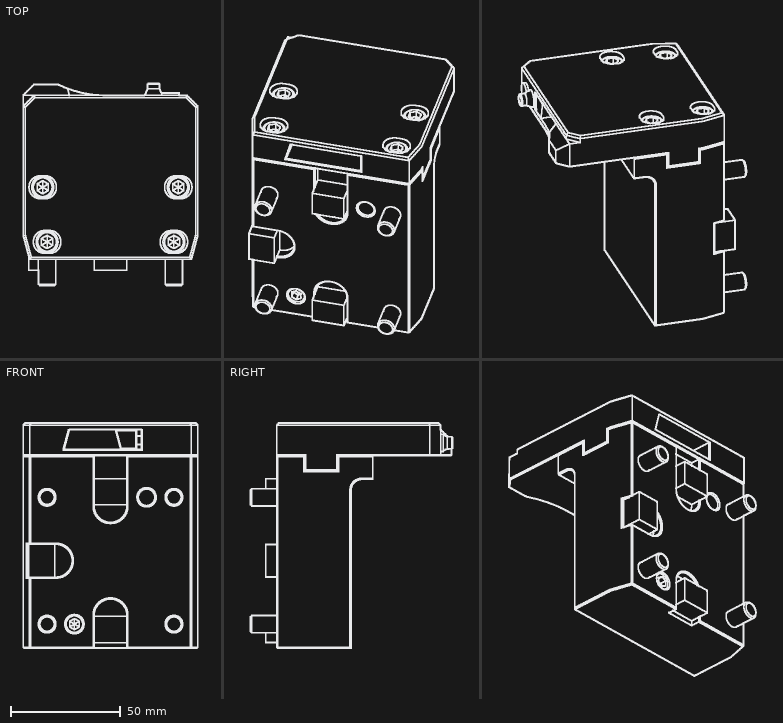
import cadquery as cq
import math

half_width = 40.0
front_half_width = 37.0
taper_angle = math.radians(15)
taper_depth = (half_width - front_half_width) / math.tan(taper_angle)
total_height = 103.0
plate_bottom = 88.0
plate_depth = 75.0

body_depth = 34.0
arm_depth = 44.0
arm_bottom = 77.2
arm_fillet = 5.0
body_chamfer = 0.5

tongue_front = 12.9
tongue_back = 27.9
tongue_bottom = 81.1

top_chamfer = 1.0
underside_chamfer = 0.4
corner_cut = 5.0
nose_top = 100.0
nose_length = 5.0
nose_end_x = -24.0
nose_sweep_radius = 50.0

dovetail_angle = math.radians(15)
slot_floor = 91.0
slot_roof = 100.0
slot_floor_left = -21.2
slot_right = 14.1
slot_lip = 0.4
jaw_floor_left = 4.6
jaw_right = 11.9
jaw_front = 15.0
jaw_chamfer = 0.3
jaw_gap = 0.2
jaw_screw_diameter = 4.0
jaw_screw_height = 95.1

knob_x = 19.7
knob_z = 93.9
knob_base_diameter = 8.2
knob_diameter = 5.6
knob_cone_length = 3.0
knob_length = 5.45
knob_chamfer = 0.4
pad_x = 27.4
pad_diameter = 8.0
pad_length = 1.2

screw_places = [(-31.0, 33.0), (31.0, 33.0), (-29.0, 8.0), (29.0, 8.0)]
counterbore_length = 12.6
counterbore_width = 10.5
head_height = 6.0
head_diameter = 10.0
head_recess = 1.6
counterbore_depth = head_recess + head_height
head_chamfer = 0.7
socket_across_flats = 5.2
socket_depth = 3.0

pattern_middle = 40.0
dowel_spacing = 58.0
dowel_diameter = 8.0
dowel_length = 12.0
dowel_chamfer = 0.7
key_width = 15.0
key_height = 12.0
key_offset = 31.5
key_projection = 5.0
key_angles = [0, 180, -90]
keyway_depth = 5.0
keyway_round_offset = 25.0
front_hole_x = 16.5
front_hole_diameter = 7.6
front_hole_depth = 14.0
front_hole_lip = 0.6
drill_half_angle = math.radians(59)
set_screw_recess = 0.6
set_screw_flats = 4.4
set_screw_socket_depth = 3.5

tol = 0.01
pick_margin = 1.0


def tapered_outline(depth):
    """Plan outline with both front corners tapered, square at the rear."""
    return [
        (-front_half_width, 0),
        (front_half_width, 0),
        (half_width, taper_depth),
        (half_width, depth),
        (-half_width, depth),
        (-half_width, taper_depth),
    ]


def front_plane(y=0.0):
    """Workplane at depth y whose normal points out of the front (-Y)."""
    return cq.Workplane("XZ", origin=(0, y, 0))


def rear_plane(x, z):
    """Workplane on the plate's rear face, normal pointing to the rear (+Y)."""
    return cq.Workplane(cq.Plane(origin=(x, plate_depth, z), xDir=(1, 0, 0), normal=(0, 1, 0)))


def rearward_cone(x, y, z, start_radius, end_radius, length):
    """Cone or cone frustum that starts at the given point and runs along +Y."""
    start = cq.Vector(x, y, z)
    return cq.Workplane(cq.Solid.makeCone(start_radius, end_radius, length, start, cq.Vector(0, 1, 0)))


def hex_socket(across_flats, depth):
    """Hexagon socket sunk from the origin along -Z, with a pyramid-shaped floor."""
    corner_radius = across_flats / 2 / math.cos(math.pi / 6)
    angles = [math.pi / 2 + i * math.pi / 3 for i in range(6)]

    def ring(z):
        return [cq.Vector(corner_radius * math.cos(a), corner_radius * math.sin(a), z) for a in angles]

    def face(points):
        return cq.Face.makeFromWires(cq.Wire.makePolygon(points, close=True))

    mouth = ring(0)
    floor = ring(-depth)
    tip = cq.Vector(0, 0, -depth - corner_radius / math.tan(drill_half_angle))
    faces = [face(mouth)]
    for i in range(6):
        faces.append(face([mouth[i - 1], mouth[i], floor[i], floor[i - 1]]))
        faces.append(face([floor[i - 1], floor[i], tip]))
    return cq.Workplane(cq.Solid.makeSolid(cq.Shell.makeShell(faces)))


def make_keyway():
    """Round-ended keyway open at the top, placed above the pattern centre."""
    round_z = pattern_middle + keyway_round_offset
    open_end = cq.Workplane("XY").box(
        key_width, keyway_depth, total_height - round_z, centered=(True, False, False)
    ).translate((0, 0, round_z))
    round_end = front_plane(keyway_depth).center(0, round_z).circle(key_width / 2).extrude(keyway_depth)
    return open_end.union(round_end)


def about_pattern_centre(shape, angle):
    """Turn a shape about the pattern's centre axis, which runs along Y."""
    return shape.rotate((0, 0, pattern_middle), (0, 1, pattern_middle), angle)


def touches_side(edge):
    """True if the edge lies wholly on a flat side or a front taper of the body."""

    def off_side(point):
        taper_x = front_half_width + point.y * math.tan(taper_angle)
        return abs(abs(point.x) - min(half_width, taper_x)) > tol

    return not any(off_side(edge.positionAt(t)) for t in (0, 0.5, 1))


def in_tongue_zone(point):
    """True for points within the tongue's section, its outline included."""
    return tongue_front - tol < point.y < tongue_back + tol and tongue_bottom - tol < point.z


class BodyOutline(cq.Selector):
    """Outer edges of the body's sides and front, with the groove and keyway mouths."""

    def filter(self, edges):
        return [edge for edge in edges if self.chosen(edge)]

    def chosen(self, edge):
        middle = edge.Center()
        if all(abs(edge.positionAt(t).y) < tol for t in (0, 0.5, 1)):
            return True
        upright = abs(edge.tangentAt(0.5).z) > 1 - tol
        taper_edge = upright and abs(middle.y - taper_depth) < tol
        arm_rear = upright and abs(middle.y - arm_depth) < tol
        return touches_side(edge) and not taper_edge and not arm_rear


class PlateUnderside(cq.Selector):
    """Lower outline of the plate, following the tongue's ends on both sides."""

    def filter(self, edges):
        return [edge for edge in edges if self.chosen(edge)]

    def chosen(self, edge):
        middle = edge.Center()
        if middle.z > plate_bottom + tol:
            return False
        tongue_length_edge = abs(middle.x) < tol and in_tongue_zone(middle)
        upright = abs(edge.tangentAt(0.5).z) > 1 - tol
        above_joint = upright and edge.BoundingBox().zmax > plate_bottom + tol
        return not tongue_length_edge and not above_joint


def make_body():
    side = (
        cq.Workplane("YZ", origin=(-half_width, 0, 0))
        .polyline([
            (0, 0), (body_depth, 0), (body_depth, arm_bottom), (arm_depth, arm_bottom),
            (arm_depth, plate_bottom), (tongue_back, plate_bottom), (tongue_back, tongue_bottom),
            (tongue_front, tongue_bottom), (tongue_front, plate_bottom), (0, plate_bottom),
        ])
        .close()
        .extrude(2 * half_width)
    )
    inner_corner = cq.selectors.NearestToPointSelector((0, body_depth, arm_bottom))
    side = side.edges("|X").edges(inner_corner).fillet(arm_fillet)
    plan = cq.Workplane("XY").polyline(tapered_outline(arm_depth)).close().extrude(plate_bottom)
    body = side.intersect(plan)

    for angle in key_angles:
        body = body.cut(about_pattern_centre(make_keyway(), angle))
    return body.edges(BodyOutline()).chamfer(body_chamfer)


def make_plate():
    sweep_end_x = nose_end_x + math.sqrt(nose_sweep_radius**2 - (nose_sweep_radius - nose_length) ** 2)
    nose_y = plate_depth + nose_length
    half_sweep = math.acos(1 - nose_length / nose_sweep_radius) / 2
    sweep_middle = (
        sweep_end_x - nose_sweep_radius * math.sin(half_sweep),
        plate_depth + nose_sweep_radius * (1 - math.cos(half_sweep)),
    )
    lower = (
        cq.Workplane("XY", origin=(0, 0, plate_bottom))
        .moveTo(-front_half_width, 0)
        .lineTo(front_half_width, 0)
        .lineTo(half_width, taper_depth)
        .lineTo(half_width, plate_depth - corner_cut)
        .lineTo(half_width - corner_cut, plate_depth)
        .lineTo(sweep_end_x, plate_depth)
        .threePointArc(sweep_middle, (nose_end_x, nose_y))
        .lineTo(nose_length - half_width, nose_y)
        .lineTo(-half_width, plate_depth)
        .lineTo(-half_width, taper_depth)
        .close()
        .extrude(nose_top - plate_bottom)
    )
    above_slope = (
        cq.Workplane("YZ", origin=(-half_width, 0, 0))
        .polyline([(plate_depth, nose_top), (nose_y, nose_top), (nose_y, nose_top - nose_length)])
        .close()
        .extrude(2 * half_width)
    )
    lower = lower.cut(above_slope)
    upper = (
        cq.Workplane("XY", origin=(0, 0, nose_top))
        .polyline(tapered_outline(plate_depth))
        .close()
        .extrude(total_height - nose_top)
        .edges("|Z and >Y")
        .chamfer(corner_cut)
        .faces(">Z")
        .edges()
        .chamfer(top_chamfer)
    )
    tongue_width = tongue_back - tongue_front
    tongue = cq.Workplane("XY").box(
        2 * half_width, tongue_width, plate_bottom - tongue_bottom, centered=(True, False, False)
    ).translate((0, tongue_front, tongue_bottom))
    lower = lower.union(tongue).edges(PlateUnderside()).chamfer(underside_chamfer)
    return lower.union(upper)


def dovetail(left, right, bottom, top, lean_angle, y_front, y_rear):
    """Bar along Y with an upright right side; the left side leans to +X going up."""
    lean = (top - bottom) * math.tan(lean_angle)
    points = [(left, bottom), (right, bottom), (right, top), (left + lean, top)]
    return front_plane(y_rear).polyline(points).close().extrude(y_rear - y_front)


def cut_dovetail_slot(part):
    rear = plate_depth + nose_length
    slot = dovetail(slot_floor_left, slot_right, slot_floor, slot_roof, dovetail_angle, 0, rear)
    part = part.cut(slot)
    lip_edges = cq.selectors.BoxSelector(
        (slot_floor_left - pick_margin, -tol, slot_floor - pick_margin),
        (slot_right + pick_margin, tol, slot_roof - pick_margin),
    )
    return part.faces("<Y").edges(lip_edges).chamfer(slot_lip)


def make_jaw():
    jaw = dovetail(
        jaw_floor_left, jaw_right, slot_floor + jaw_gap, slot_roof - jaw_gap,
        -dovetail_angle, jaw_front, plate_depth,
    )
    jaw = jaw.faces("<Y").edges().chamfer(jaw_chamfer)
    middle_y = (jaw_front + plate_depth) / 2
    screw = (
        cq.Workplane("YZ", origin=(jaw_right, middle_y, jaw_screw_height))
        .circle(jaw_screw_diameter / 2)
        .extrude(slot_right - jaw_right)
    )
    return jaw.union(screw)


def make_knob():
    base = rearward_cone(
        knob_x, plate_depth, knob_z, knob_base_diameter / 2, knob_diameter / 2, knob_cone_length
    )
    stem = (
        rear_plane(knob_x, knob_z)
        .circle(knob_diameter / 2)
        .extrude(knob_length)
        .faces(">Y")
        .chamfer(knob_chamfer)
    )
    pad = rear_plane(pad_x, knob_z).circle(pad_diameter / 2).extrude(pad_length)
    return stem.union(base).union(pad)


def add_plate_screw(part, place):
    x, y = place
    counterbore = (
        cq.Workplane("XY", origin=(x, y, total_height))
        .slot2D(counterbore_length, counterbore_width)
        .extrude(-counterbore_depth)
    )
    head = (
        cq.Workplane("XY", origin=(x, y, total_height - counterbore_depth))
        .circle(head_diameter / 2)
        .extrude(head_height)
        .faces(">Z")
        .edges()
        .chamfer(head_chamfer)
    )
    socket = hex_socket(socket_across_flats, socket_depth).translate((x, y, total_height - head_recess))
    return part.cut(counterbore).union(head.cut(socket))


def make_key():
    """Key seated in the upper keyway and standing out of the front."""
    return cq.Workplane("XY").box(
        key_width, key_projection + keyway_depth, key_height
    ).translate((0, (keyway_depth - key_projection) / 2, pattern_middle + key_offset))


def make_dowels():
    return (
        front_plane()
        .center(0, pattern_middle)
        .rect(dowel_spacing, dowel_spacing, forConstruction=True)
        .vertices()
        .circle(dowel_diameter / 2)
        .extrude(dowel_length)
        .faces("<Y")
        .edges()
        .chamfer(dowel_chamfer)
    )


def cut_bevelled_hole(part, x, z, depth):
    """Blind hole in the front face with a bevelled mouth."""
    radius = front_hole_diameter / 2
    hole = front_plane().center(x, z).circle(radius).extrude(-depth)
    mouth = rearward_cone(x, 0, z, radius + front_hole_lip, radius, front_hole_lip)
    return part.cut(hole).cut(mouth)


def cut_front_hole(part):
    z = pattern_middle + dowel_spacing / 2
    part = cut_bevelled_hole(part, front_hole_x, z, front_hole_depth)
    radius = front_hole_diameter / 2
    tip_length = radius / math.tan(drill_half_angle)
    tip = rearward_cone(front_hole_x, front_hole_depth, z, radius, 0, tip_length)
    return part.cut(tip)


def cut_set_screw(part):
    """Recess down to the set screw's face, and the hexagon socket in it."""
    z = pattern_middle - dowel_spacing / 2
    part = cut_bevelled_hole(part, -front_hole_x, z, set_screw_recess)
    socket = (
        hex_socket(set_screw_flats, set_screw_socket_depth)
        .rotate((0, 0, 0), (1, 0, 0), 90)
        .translate((-front_hole_x, set_screw_recess, z))
    )
    return part.cut(socket)


plate = cut_dovetail_slot(make_plate())
part = make_body().union(plate).union(make_jaw()).union(make_knob())
for place in screw_places:
    part = add_plate_screw(part, place)
part = cut_front_hole(part)
part = cut_set_screw(part)
part = part.union(make_dowels())
for angle in key_angles:
    part = part.union(about_pattern_centre(make_key(), angle))

result = part